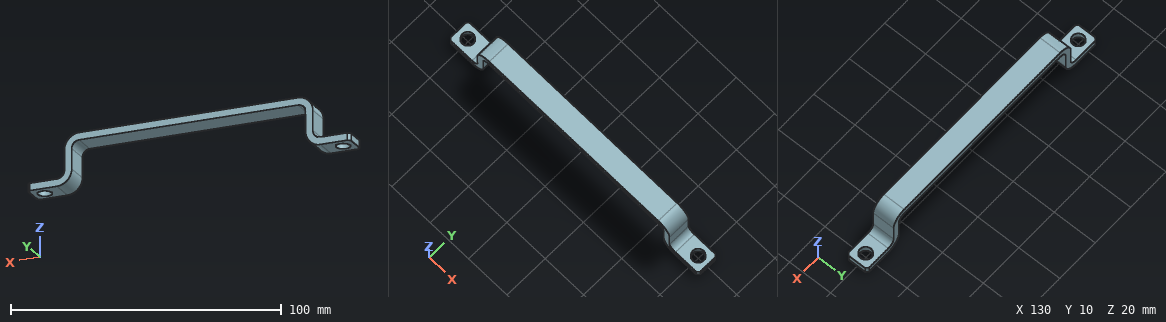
import cadquery as cq

length = 130.0
width = 10.0
height = 20.0

thickness = 3.0
grip_length = 100.1
inner_radius = 3.0
outer_radius = inner_radius + thickness

hole_diameter = 5.5
hole_end_distance = 5.0
corner_chamfer = 1.0

end_x = length / 2
leg_outer_x = grip_length / 2
leg_inner_x = leg_outer_x - thickness


def grip_block(half_length, top_z, bottom_z):
    """Block spanning the grip, centred on the handle."""
    block_height = top_z - bottom_z
    return (
        cq.Workplane("XY")
        .box(2 * half_length, width, block_height, centered=(True, True, False))
        .translate((0, 0, bottom_z))
    )


def bent_strip():
    """Strip with two feet, two upright legs and a straight grip."""
    feet = cq.Workplane("XY").box(length, width, thickness, centered=(True, True, False))
    outside = grip_block(leg_outer_x, height, 0)
    opening = grip_block(leg_inner_x, height - thickness, 0)
    strip = feet.union(outside).cut(opening)

    def round_bends(strip, x, z, radius):
        for side in (-1, 1):
            corner = cq.selectors.NearestToPointSelector((side * x, 0, z))
            strip = strip.edges("|Y").edges(corner).fillet(radius)
        return strip

    strip = round_bends(strip, leg_outer_x, height, outer_radius)
    strip = round_bends(strip, leg_inner_x, height - thickness, inner_radius)
    strip = round_bends(strip, leg_outer_x, thickness, inner_radius)
    return round_bends(strip, leg_inner_x, 0, outer_radius)


def mounting_holes():
    """Vertical cutters for the hole through each foot."""
    hole_x = end_x - hole_end_distance
    return (
        cq.Workplane("XY")
        .pushPoints([(-hole_x, 0), (hole_x, 0)])
        .circle(hole_diameter / 2)
        .extrude(thickness)
    )


handle = bent_strip().edges("|Z").edges("<X or >X").chamfer(corner_chamfer)

result = handle.cut(mounting_holes())